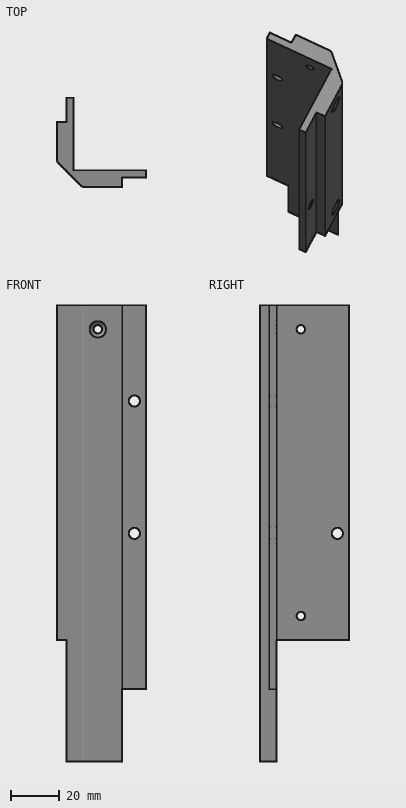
import cadquery as cq

height = 188.5
leg_width = 37.0

wall = 7.0
step = 4.0
flange_width = 10.0
corner_chamfer = 10.5
corner_radius = 1.9

x_flange_bottom = 30.0
y_leg_bottom = 50.1

screw_diameter = 3.4
countersink_diameter = 6.8
countersink_angle = 90
screw_offset = 17.0
screw_inset = 10.0
flange_hole_diameter = 4.5
flange_hole_offset = 32.0
middle_hole_z = height / 2
upper_hole_z = 148.9

flange_start = leg_width - flange_width


def box(x_range, y_range, z_range):
    """Box between the given limits on each axis."""
    (x0, x1), (y0, y1), (z0, z1) = x_range, y_range, z_range
    return cq.Workplane("XY").box(x1 - x0, y1 - y0, z1 - z0, centered=False).translate((x0, y0, z0))


def angle_bar():
    """Full-height angle with stepped flanges and a softened corner flat."""
    outline = [
        (corner_chamfer, 0),
        (flange_start, 0),
        (flange_start, step),
        (leg_width, step),
        (leg_width, wall),
        (wall, wall),
        (wall, leg_width),
        (step, leg_width),
        (step, flange_start),
        (0, flange_start),
        (0, corner_chamfer),
    ]
    bar = cq.Workplane("XY").polyline(outline).close().extrude(height)
    for corner in ((corner_chamfer, 0), (0, corner_chamfer)):
        edge = cq.selectors.NearestToPointSelector((*corner, height / 2))
        bar = bar.edges("|Z").edges(edge).fillet(corner_radius)
    return bar


def trim_lower_ends(bar):
    """Shorten the Y leg and the X flange, leaving a tongue at the bottom."""
    y_leg = box((0, wall), (wall, leg_width), (0, y_leg_bottom))
    corner_edge = box((0, step), (0, leg_width), (0, y_leg_bottom))
    x_flange = box((flange_start, leg_width), (0, wall), (0, x_flange_bottom))
    return bar.cut(y_leg).cut(corner_edge).cut(x_flange)


x_leg_face = cq.Plane(origin=(0, 0, 0), xDir=(1, 0, 0), normal=(0, -1, 0))
y_leg_face = cq.Plane(origin=(0, 0, 0), xDir=(0, -1, 0), normal=(-1, 0, 0))


def screw_holes(bar, face, points):
    """Countersunk holes through the thick part of a leg."""
    return (
        bar.copyWorkplane(cq.Workplane(face))
        .pushPoints(points)
        .cskHole(screw_diameter, countersink_diameter, countersink_angle, depth=wall)
    )


def flange_holes(bar, face, points):
    """Plain holes through a flange."""
    pins = cq.Workplane(face).pushPoints(points).circle(flange_hole_diameter / 2).extrude(-wall)
    return bar.cut(pins)


top_screw_z = height - screw_inset
bottom_screw_z = y_leg_bottom + screw_inset

result = trim_lower_ends(angle_bar())
result = screw_holes(result, x_leg_face, [(screw_offset, top_screw_z)])
result = screw_holes(result, y_leg_face, [(-screw_offset, z) for z in (top_screw_z, bottom_screw_z)])
result = flange_holes(result, x_leg_face, [(flange_hole_offset, z) for z in (middle_hole_z, upper_hole_z)])
result = flange_holes(result, y_leg_face, [(-flange_hole_offset, middle_hole_z)])